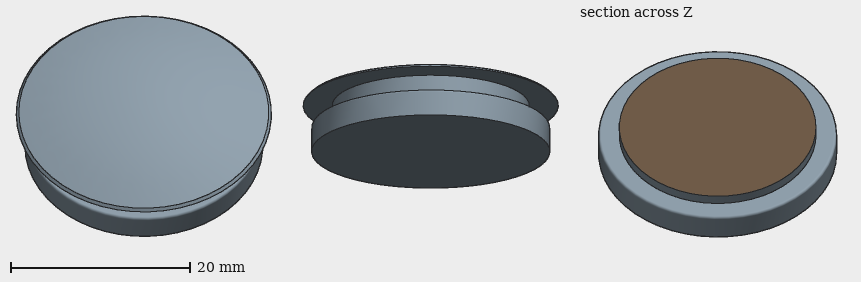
import cadquery as cq

flange_diameter = 26.6
flange_height = 3.0
flange_edge_radius = 0.3

neck_diameter = 22.0
neck_height = 2.4

cap_diameter = 28.5
total_height = 8.2
rim_height = 0.3
rim_inset = 0.3

cap_bottom = flange_height + neck_height
rim_top = cap_bottom + rim_height


def make_flange():
    """Round base disc with a softened upper edge."""
    disc = cq.Workplane("XY").circle(flange_diameter / 2).extrude(flange_height)
    return disc.faces(">Z").edges().fillet(flange_edge_radius)


def make_neck():
    """Narrower cylinder that carries the cap."""
    return cq.Workplane("XY").workplane(offset=flange_height).circle(neck_diameter / 2).extrude(neck_height)


def make_cap():
    """Spherical dome with a thin bevelled rim, revolved about Z."""
    cap_radius = cap_diameter / 2
    dome_radius = cap_radius - rim_inset
    dome_rise = total_height - rim_top
    sphere_radius = (dome_radius**2 + dome_rise**2) / (2 * dome_rise)
    mid_x = dome_radius / 2
    sphere_center = total_height - sphere_radius
    mid_z = sphere_center + (sphere_radius**2 - mid_x**2) ** 0.5
    profile = (
        cq.Workplane("XZ")
        .moveTo(0, cap_bottom)
        .lineTo(cap_radius, cap_bottom)
        .lineTo(dome_radius, rim_top)
        .threePointArc((mid_x, mid_z), (0, total_height))
        .close()
    )
    return profile.revolve(360, (0, 0, 0), (0, 1, 0))


result = make_flange().union(make_neck()).union(make_cap())